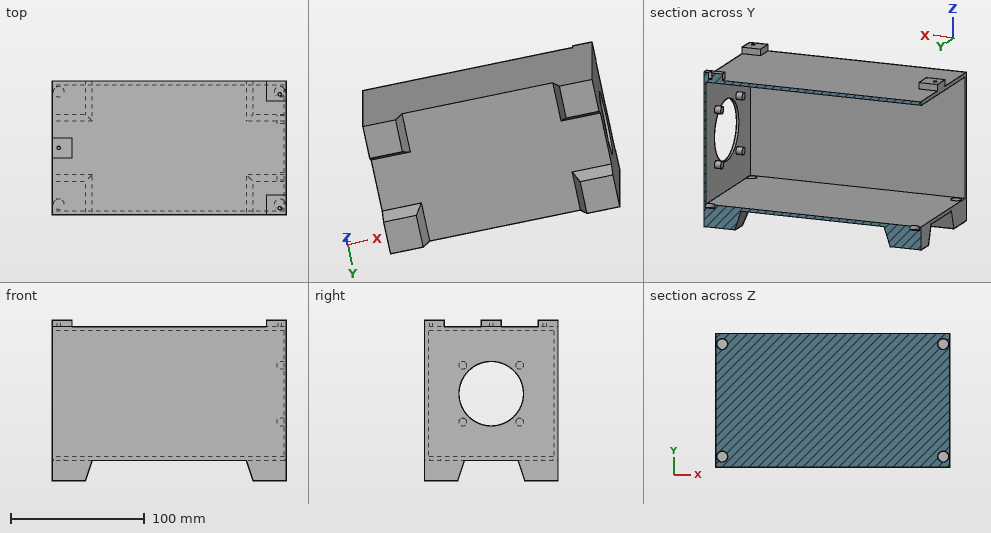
import cadquery as cq

length = 175.0
width = 100.0
height = 120.0
wall = 3.0
end_wall = 2.0

pad_size = 15.0
pad_height = 5.0
pad_hole_diameter = 2.5
pad_hole_depth = pad_height
pad_hole_inset = 5.0
wide_pad_hole_inset = 10.0

foot_height = 15.0
foot_bottom_x = 25.0
foot_bottom_y = 25.0
foot_taper = 5.0
foot_hole_diameter = 8.0
foot_hole_end_inset = 5.0
foot_hole_side_inset = 8.0
foot_hole_depth = 3.0

opening_diameter = 48.0
peg_diameter = 5.82
peg_circle_diameter = 60.0
peg_start_angle = 45.0
peg_length = 5.0
peg_count = 4

roof_z = height - pad_height
floor_z = foot_height + wall
cavity_height = roof_z - wall - floor_z
axis_z = floor_z + cavity_height / 2
end_wall_inner_x = length / 2 - end_wall


def make_shell():
    """Box closed at +X and open at -X, with a solid base below the cavity floor."""
    box = cq.Workplane("XY").box(length, width, roof_z, centered=(True, True, False))
    cavity = (
        cq.Workplane("XY", origin=(-end_wall / 2, 0, floor_z))
        .box(length - end_wall, width - 2 * wall, cavity_height, centered=(True, True, False))
    )
    return box.cut(cavity)


def make_foot_gap(plane, span, foot_bottom, depth):
    """Tapered prism that separates the feet, running the full depth of the box."""
    bottom_half = span / 2 - foot_bottom
    top_half = bottom_half - foot_taper
    return (
        cq.Workplane(plane)
        .moveTo(-bottom_half, 0)
        .lineTo(bottom_half, 0)
        .lineTo(top_half, foot_height)
        .lineTo(-top_half, foot_height)
        .close()
        .extrude(depth / 2, both=True)
    )


def make_foot_holes():
    """Blind holes sunk from the cavity floor into the four feet."""
    x_spacing = length - 2 * foot_hole_end_inset
    y_spacing = width - 2 * foot_hole_side_inset
    return (
        cq.Workplane("XY", origin=(0, 0, floor_z))
        .rect(x_spacing, y_spacing, forConstruction=True)
        .vertices()
        .circle(foot_hole_diameter / 2)
        .extrude(-foot_hole_depth)
    )


def add_pads(body):
    """Three square pads, each drilled down to the roof."""
    pad_x = (length - pad_size) / 2
    pad_y = (width - pad_size) / 2
    pad_centres = [(-pad_x, 0), (pad_x, pad_y), (pad_x, -pad_y)]
    pads = (
        cq.Workplane("XY", origin=(0, 0, roof_z))
        .pushPoints(pad_centres)
        .rect(pad_size, pad_size)
        .extrude(pad_height)
    )
    hole_x = length / 2 - pad_hole_inset
    hole_centres = [
        (-hole_x, 0),
        (hole_x, width / 2 - wide_pad_hole_inset),
        (hole_x, -(width / 2 - pad_hole_inset)),
    ]
    holes = (
        cq.Workplane("XY", origin=(0, 0, height))
        .pushPoints(hole_centres)
        .circle(pad_hole_diameter / 2)
        .extrude(-pad_hole_depth)
    )
    return body.union(pads).cut(holes)


def add_end_wall_details(body):
    """Round opening through the +X wall, ringed by pegs standing into the cavity."""
    wall_face = cq.Workplane("YZ", origin=(end_wall_inner_x, 0, axis_z))
    opening = wall_face.circle(opening_diameter / 2).extrude(end_wall)
    pegs = (
        wall_face
        .polarArray(peg_circle_diameter / 2, peg_start_angle, 360, peg_count)
        .circle(peg_diameter / 2)
        .extrude(-peg_length)
    )
    return body.cut(opening).union(pegs)


body = make_shell()
body = body.cut(make_foot_gap("XZ", length, foot_bottom_x, width))
body = body.cut(make_foot_gap("YZ", width, foot_bottom_y, length))
body = body.cut(make_foot_holes())
body = add_pads(body)
result = add_end_wall_details(body)